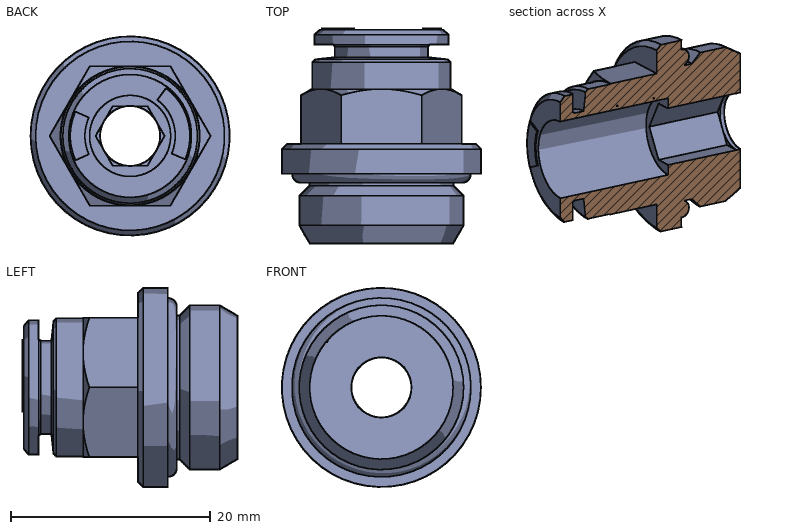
import cadquery as cq
import math

length = 21.6

hex_corner_ratio = 2 / math.sqrt(3)

thread_radius = 16.5 / 2
thread_root_radius = 14.5 / 2
end_face_radius = 7.2
lead_in_end = 1.81
thread_end = 4.8
groove_start = thread_end + thread_radius - thread_root_radius

flange_radius = 20.0 / 2
flange_start = 7.0
flange_end = 10.0
flange_chamfer = 0.52
seal_section_radius = 0.9
seal_centre_radius = 8.08

hex_across_flats = 14.0
hex_across_corners = hex_across_flats * hex_corner_ratio
hex_end = 15.5
hex_chamfer_angle = 30.0

sleeve_radius = 13.9 / 2
sleeve_end = 18.5
sleeve_chamfer = 0.3

neck_radius = 9.4 / 2
neck_start = 18.7
neck_flare = 0.13
neck_flare_height = 0.22
ring_radius = 13.5 / 2
ring_start = 19.95
ring_end = 21.47
ring_chamfer_width = 0.58
ring_chamfer_height = 0.5

pad_height = length - ring_end
pad_inner_radius = 4.54
pad_outer_radius = 6.0
left_pad_angles = (127.0, 203.0)
right_pad_angles = (-24.0, 24.0)

bore_radius = 6.0 / 2
bore_lip = 0.5
socket_across_flats = 2 * bore_radius
socket_across_corners = socket_across_flats * hex_corner_ratio
tube_radius = 8.15 / 2
tube_stop = 8.65


def plane_at(y):
    """XZ plane at height y along the axis, with its normal toward +Y."""
    return cq.Workplane(cq.Plane(origin=(0, y, 0), xDir=(1, 0, 0), normal=(0, 1, 0)))


def turned(points):
    """Solid turned about the Y axis from (radius, y) points."""
    return cq.Workplane("XY").polyline(points).close().revolve(360, (0, 0), (0, 1))


def cylinder(radius, start, end):
    return plane_at(start).circle(radius).extrude(end - start)


def hexagon(across_corners, start, end):
    """Hexagonal prism along Y with two corners on the X axis."""
    return plane_at(start).polygon(6, across_corners).extrude(end - start)


def thread_and_flange():
    return turned([
        (0, 0),
        (end_face_radius, 0),
        (thread_radius, lead_in_end),
        (thread_radius, thread_end),
        (thread_root_radius, groove_start),
        (thread_root_radius, flange_start),
        (flange_radius, flange_start),
        (flange_radius, flange_end - flange_chamfer),
        (flange_radius - flange_chamfer, flange_end),
        (0, flange_end),
    ])


def sealing_ring():
    return (
        cq.Workplane("XY")
        .moveTo(seal_centre_radius - seal_section_radius, flange_start)
        .threePointArc(
            (seal_centre_radius, flange_start - seal_section_radius),
            (seal_centre_radius + seal_section_radius, flange_start),
        )
        .close()
        .revolve(360, (0, 0), (0, 1))
    )


def spanner_hexagon():
    prism = hexagon(hex_across_corners, flange_end, hex_end)
    flat_radius = hex_across_flats / 2
    corner_radius = hex_across_corners / 2
    chamfer_drop = (corner_radius - flat_radius) * math.tan(math.radians(hex_chamfer_angle))
    chamfer_envelope = turned([
        (0, flange_end),
        (corner_radius, flange_end),
        (corner_radius, hex_end - chamfer_drop),
        (flat_radius, hex_end),
        (0, hex_end),
    ])
    return prism.intersect(chamfer_envelope)


def sleeve_and_release_ring():
    return turned([
        (0, hex_end),
        (sleeve_radius, hex_end),
        (sleeve_radius, sleeve_end - sleeve_chamfer),
        (sleeve_radius - sleeve_chamfer, sleeve_end),
        (neck_radius, neck_start),
        (neck_radius, ring_start - neck_flare_height),
        (neck_radius + neck_flare, ring_start),
        (ring_radius, ring_start),
        (ring_radius, ring_end - ring_chamfer_height),
        (ring_radius - ring_chamfer_width, ring_end),
        (0, ring_end),
    ])


def raised_pad(start_angle, end_angle):
    """Ring sector standing on the end face of the release ring."""
    pad = (
        cq.Workplane("XY")
        .moveTo(pad_inner_radius, ring_end)
        .rect(pad_outer_radius - pad_inner_radius, pad_height, centered=False)
        .revolve(end_angle - start_angle, (0, ring_end), (0, length))
    )
    return pad.rotate((0, 0, 0), (0, 1, 0), -end_angle)


def passage():
    lip = cylinder(bore_radius, 0, bore_lip)
    socket = hexagon(socket_across_corners, bore_lip, tube_stop)
    tube_bore = cylinder(tube_radius, tube_stop, length)
    return lip.union(socket).union(tube_bore)


result = (
    thread_and_flange()
    .union(sealing_ring())
    .union(spanner_hexagon())
    .union(sleeve_and_release_ring())
    .union(raised_pad(*left_pad_angles))
    .union(raised_pad(*right_pad_angles))
    .cut(passage())
)